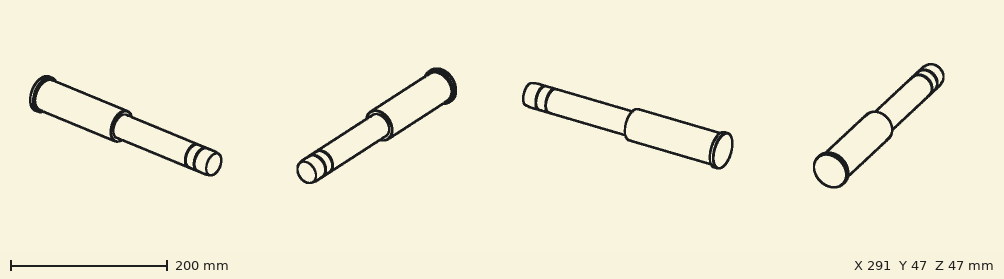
import cadquery as cq

total_length = 291.0
head_radius = 47.0 / 2
head_length = 5.5
head_chamfer = 0.5
body_radius = 42.0 / 2
body_end = 135.0
pin_radius = 32.0 / 2

undercut_width = 1.0
undercut_depth = 0.5

lead_length = 5.0
lead_drop = 0.05
edge_chamfer = 0.5

groove_positions = (256.0, 271.0)
groove_width = 1.0
groove_depth = 0.5

nose_length = 7.0
tip_radius = 14.8
nose_bulge = 0.15


def ring_groove(start, width, surface_radius, depth):
    """Ring of material to remove from a round surface."""
    return (
        cq.Workplane("YZ", origin=(start, 0, 0))
        .circle(surface_radius + depth)
        .circle(surface_radius - depth)
        .extrude(width)
    )


def turned_blank():
    """Solid of revolution of the head, body, pin and nose."""
    nose_start = total_length - nose_length
    lead_start = body_end - lead_length
    lead_radius = body_radius - lead_drop
    nose_middle = (
        total_length - nose_length / 2,
        (pin_radius + tip_radius) / 2 + nose_bulge,
    )
    return (
        cq.Workplane("XY")
        .lineTo(0, head_radius - head_chamfer)
        .lineTo(head_chamfer, head_radius)
        .lineTo(head_length, head_radius)
        .lineTo(head_length, body_radius)
        .lineTo(lead_start, body_radius)
        .lineTo(body_end - edge_chamfer, lead_radius)
        .lineTo(body_end, lead_radius - edge_chamfer)
        .lineTo(body_end, pin_radius)
        .lineTo(nose_start, pin_radius)
        .threePointArc(nose_middle, (total_length, tip_radius))
        .lineTo(total_length, 0)
        .close()
        .revolve(360, (0, 0, 0), (1, 0, 0))
    )


result = turned_blank().cut(ring_groove(head_length, undercut_width, body_radius, undercut_depth))
for groove_start in groove_positions:
    result = result.cut(ring_groove(groove_start, groove_width, pin_radius, groove_depth))